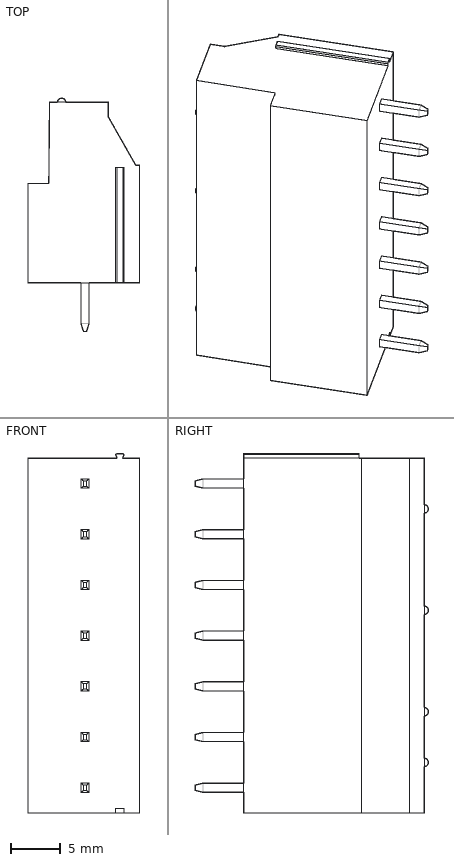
import cadquery as cq

pole_count = 7
pitch = 5.1
housing_height = pole_count * pitch
overall_height = 36.05
housing_width = 11.2
housing_depth = 18.15

shoulder_y = 10.0
ledge_y = 11.83
wall_foot_x = 2.1
wall_top_x = 2.15
back_right_x = 8.08
slope_top_y = 16.65
slope_end_x = 10.8

rail_x = 9.23
rail_length = 11.58
rail_height = overall_height - housing_height
rail_root_width = 0.58
rail_widest = 0.85
rail_crown_width = 0.6
rail_crown_height = 0.1
groove_width = 0.85
groove_depth = 0.47

pin_x = 5.75
pin_width = 0.83
pin_thickness = 0.95
pin_tip_width = 0.32
pin_tip_thickness = 0.55
pin_straight = 4.07
pin_tip_length = 0.8

pip_x = 3.4
pip_radius = 0.45
pip_height = 0.4
pip_boundaries = (1, 2, 4, 6)


def make_housing():
    outline = [
        (0, 0),
        (housing_width, 0),
        (housing_width, ledge_y),
        (slope_end_x, ledge_y),
        (back_right_x, slope_top_y),
        (back_right_x, housing_depth),
        (wall_top_x, housing_depth),
        (wall_foot_x, shoulder_y),
        (0, shoulder_y),
    ]
    return cq.Workplane("XY").polyline(outline).close().extrude(housing_height)


def make_rail():
    widest_z = housing_height + rail_height - rail_crown_height
    right_side = [
        (rail_root_width / 2, housing_height),
        (rail_widest / 2, widest_z),
        (rail_crown_width / 2, housing_height + rail_height),
    ]
    left_side = [(-x, z) for x, z in reversed(right_side)]
    profile = [(rail_x + x, z) for x, z in right_side + left_side]
    return cq.Workplane("XZ").polyline(profile).close().extrude(-rail_length)


def make_groove():
    return (
        cq.Workplane("XY", origin=(rail_x, 0, 0))
        .box(groove_width, rail_length, groove_depth, centered=(True, False, False))
    )


def make_pin(z):
    shank = (
        cq.Workplane("XZ", origin=(pin_x, 0, z))
        .rect(pin_width, pin_thickness)
        .extrude(pin_straight)
    )
    tip = (
        cq.Workplane("XZ", origin=(pin_x, -pin_straight, z))
        .rect(pin_width, pin_thickness)
        .workplane(offset=pin_tip_length)
        .rect(pin_tip_width, pin_tip_thickness)
        .loft(ruled=True)
    )
    return shank.union(tip)


def make_pip(z):
    center_y = housing_depth + pip_height - pip_radius
    return cq.Workplane("XY").sphere(pip_radius).translate((pip_x, center_y, z))


result = make_housing().union(make_rail()).cut(make_groove())
for pole in range(pole_count):
    result = result.union(make_pin((pole + 0.5) * pitch))
for boundary in pip_boundaries:
    result = result.union(make_pip(boundary * pitch))